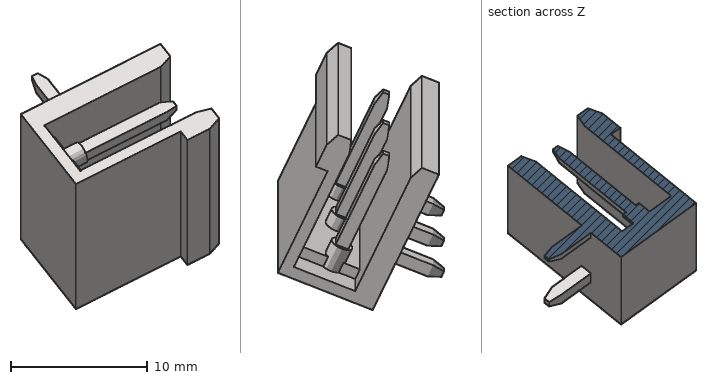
import cadquery as cq

length = 15.24
height = 12.1
housing_width = 7.59
back_wall = 1.8
latch_wall = 0.88
floor = 0.91

tip_start = 11.0
back_tip_inset = 0.43
latch_overhang = 0.93
latch_bottom = 9.07
latch_inner_inset = 0.3
latch_outer_inset = 0.44

pin_count = 3
pitch = 5.07
pin_size = 1.0
pin_tip_size = 0.5
taper_length = 0.99
tail_length = 3.98
tail_y = 3.72
contact_x = 3.73
contact_end = 10.99

collar_diameter = 1.65
collar_top = 2.91
strip_top = 1.78
strip_overhang = 0.55

latch_inner_x = housing_width - latch_wall
latch_outer_x = housing_width + latch_overhang
middle_z = length / 2
first_pin_z = middle_z - pitch * (pin_count - 1) / 2


def make_housing():
    outline = [
        (0, 0),
        (housing_width, 0),
        (housing_width, latch_bottom),
        (latch_outer_x, latch_bottom),
        (latch_outer_x, tip_start),
        (latch_outer_x - latch_outer_inset, height),
        (latch_inner_x + latch_inner_inset, height),
        (latch_inner_x, tip_start),
        (latch_inner_x, floor),
        (back_wall, floor),
        (back_wall, tip_start),
        (back_wall - back_tip_inset, height),
        (0, height),
    ]
    return cq.Workplane("XY").polyline(outline).close().extrude(length)


def make_strip():
    """Raised floor strip joining the two walls beneath the contacts."""
    strip_length = pitch * (pin_count - 1) + 2 * strip_overhang
    return cq.Workplane("XY").box(
        latch_inner_x - back_wall, strip_top, strip_length, centered=(False, False, True)
    ).translate((back_wall, 0, middle_z))


def make_pin(root, direction, pin_length):
    """Square pin with a pyramidal tip, growing from root along direction."""
    plane = cq.Plane(origin=root, xDir=(0, 0, 1), normal=direction)
    shank_length = pin_length - taper_length
    shank = cq.Workplane(plane).rect(pin_size, pin_size).extrude(shank_length)
    tip = (
        cq.Workplane(plane)
        .workplane(offset=shank_length)
        .rect(pin_size, pin_size)
        .workplane(offset=taper_length)
        .rect(pin_tip_size, pin_tip_size)
        .loft(ruled=True)
    )
    return shank.union(tip)


def make_collar(z):
    plane = cq.Plane(origin=(contact_x, 0, z), xDir=(0, 0, 1), normal=(0, 1, 0))
    return cq.Workplane(plane).circle(collar_diameter / 2).extrude(collar_top)


result = make_housing().union(make_strip())
for index in range(pin_count):
    pin_z = first_pin_z + index * pitch
    tail_root = back_wall / 2
    contact_root = floor / 2
    tail = make_pin((tail_root, tail_y, pin_z), (-1, 0, 0), tail_length + tail_root)
    contact = make_pin((contact_x, contact_root, pin_z), (0, 1, 0), contact_end - contact_root)
    result = result.union(tail).union(contact).union(make_collar(pin_z))